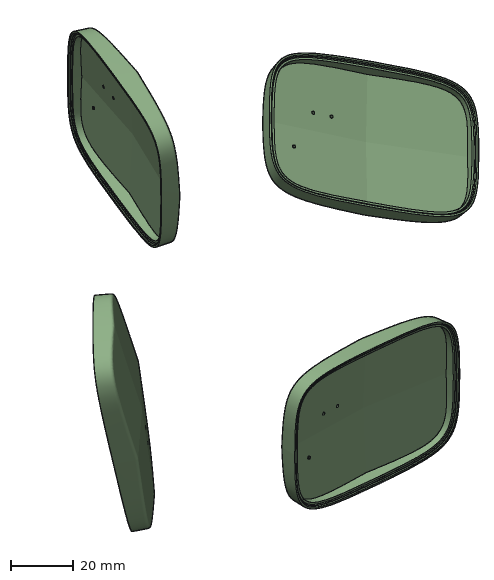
import cadquery as cq
import math

width = 73.5
height = 51.5
half_width = width / 2
half_height = height / 2
handle_fraction = 0.94
handle_inset_share = 0.55
draft = 3.0

apex_y = 9.5
roof_slope_x = 4.0
roof_slope_z = 3.0
roof_thickness = 3.0
roof_edge_radius = 1.0

outer_land = 0.65
bevel_width = 0.33
outer_bevel_depth = 0.4
wall_depth = 0.2
inner_bevel_depth = 0.3
inner_land = 0.7

hole_diameter = 1.0
through_holes = [(-19.25, 6.3), (-12.65, 6.3)]
dimple_depth = 0.2
dimple_place = (-26.2, -7.05)
hole_lead_in = 0.15

slope_x = math.tan(math.radians(roof_slope_x))
slope_z = math.tan(math.radians(roof_slope_z))
draft_per_depth = math.tan(math.radians(draft))


def outline(inset, y):
    """Closed oval at height y, moved inwards from the rim outline by inset."""
    a = half_width - inset
    b = half_height - inset
    handle_a = handle_fraction * half_width - handle_inset_share * inset
    handle_b = handle_fraction * half_height - handle_inset_share * inset

    def curve(*points):
        return cq.Edge.makeBezier([cq.Vector(x, y, z) for x, z in points])

    return cq.Wire.assembleEdges([
        curve((0, b), (handle_a, b), (a, handle_b), (a, 0)),
        curve((a, 0), (a, -handle_b), (handle_a, -b), (0, -b)),
        curve((0, -b), (-handle_a, -b), (-a, -handle_b), (-a, 0)),
        curve((-a, 0), (-a, handle_b), (-handle_a, b), (0, b)),
    ])


def oval_block(inset, y, end_inset, end_y):
    """Solid with straight walls between two ovals at different heights."""
    sections = [outline(inset, y), outline(end_inset, end_y)]
    return cq.Workplane(cq.Solid.makeLoft(sections, True))


def drafted_block(inset, y):
    """Oval block from y up to the apex height, narrowing by the draft angle."""
    return oval_block(inset, y, inset + (apex_y - y) * draft_per_depth, apex_y)


def pyramid(top_y):
    """Space below a four-sided roof whose ridges lie on X = 0 and Z = 0."""
    reach_x = top_y / slope_x
    reach_z = top_y / slope_z
    apex = cq.Vector(0, top_y, 0)
    base = [
        cq.Vector(reach_x, 0, 0),
        cq.Vector(0, 0, reach_z),
        cq.Vector(-reach_x, 0, 0),
        cq.Vector(0, 0, -reach_z),
    ]
    triangles = [[base[i - 1], base[i], apex] for i in range(len(base))]
    faces = [
        cq.Face.makeFromWires(cq.Wire.makePolygon(corners, close=True))
        for corners in [base] + triangles
    ]
    return cq.Workplane(cq.Solid.makeSolid(cq.Shell.makeShell(faces)))


def floor_hole(x, z, depth):
    """Cylinder square to the sloped cavity floor, starting just in front of it."""
    floor_y = apex_y - roof_thickness - abs(x) * slope_x - abs(z) * slope_z
    normal = cq.Vector(math.copysign(slope_x, x), 1, math.copysign(slope_z, z)).normalized()
    start = cq.Vector(x, floor_y, z) - normal * hole_lead_in
    return cq.Workplane(cq.Solid.makeCylinder(hole_diameter / 2, depth + hole_lead_in, start, normal))


body = drafted_block(0, 0).intersect(pyramid(apex_y))
roof_edge = [
    edge for edge in body.edges().vals()
    if edge.geomType() != "LINE" and edge.Center().y > apex_y / 2
]
body = body.newObject(roof_edge).fillet(roof_edge_radius)

wall_inset = outer_land + bevel_width
wall_start = outer_bevel_depth
wall_end = wall_start + wall_depth
land_inset = wall_inset + bevel_width
land_y = wall_end + inner_bevel_depth
body = body.cut(oval_block(outer_land, 0, wall_inset, wall_start))
body = body.cut(oval_block(wall_inset, wall_start, wall_inset, wall_end))
body = body.cut(oval_block(wall_inset, wall_end, land_inset, land_y))

cavity = drafted_block(land_inset + inner_land, land_y)
body = body.cut(cavity.intersect(pyramid(apex_y - roof_thickness)))

for hole_x, hole_z in through_holes:
    body = body.cut(floor_hole(hole_x, hole_z, 2 * roof_thickness))
body = body.cut(floor_hole(*dimple_place, dimple_depth))

result = body